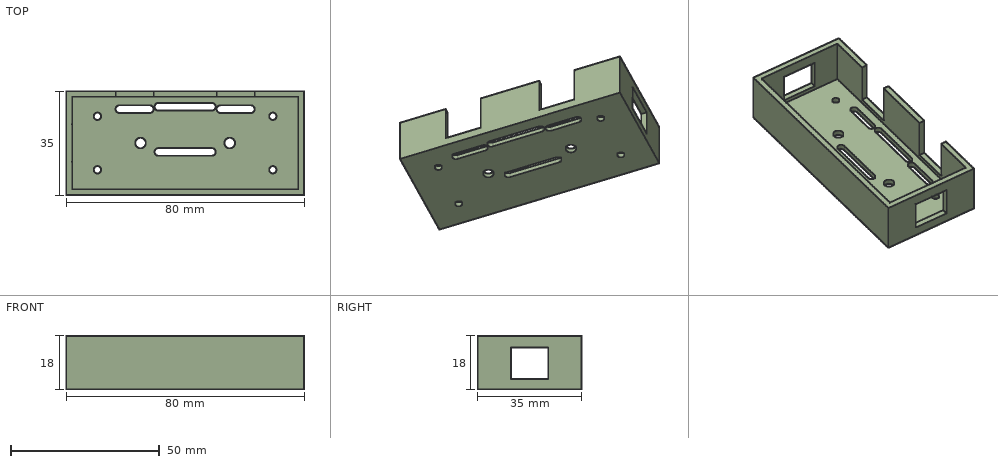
import cadquery as cq

length = 80.0
width = 35.0
height = 18.0
wall = 2.0
floor = 2.0

notch_width = 12.75
notch_offset = 17.0
notch_bottom = 3.5

window_width = 12.5
window_height = 10.5
window_bottom = 3.5

corner_hole_diameter = 2.4
corner_hole_x = 29.5
corner_hole_y = 9.0
centre_hole_diameter = 3.5
centre_hole_x = 15.0

slot_width = 2.5
centre_slot_length = 20.5
back_slot_y = 12.2
front_slot_y = -3.0
notch_slot_length = notch_width
notch_slot_y = 11.4


def make_box():
    """Floor with four walls."""
    outer = cq.Workplane("XY").box(length, width, height, centered=(True, True, False))
    cavity = (
        cq.Workplane("XY")
        .workplane(offset=floor)
        .box(length - 2 * wall, width - 2 * wall, height, centered=(True, True, False))
    )
    return outer.cut(cavity)


def make_notches():
    """Cutters for the back wall, reaching from the notch bottom past the rim."""
    return (
        cq.Workplane("XY")
        .workplane(offset=notch_bottom)
        .pushPoints([(side * notch_offset, (width - wall) / 2) for side in (-1, 1)])
        .rect(notch_width, wall)
        .extrude(height - notch_bottom)
    )


def make_windows():
    """One bar along X that opens both end walls."""
    return (
        cq.Workplane("XY")
        .workplane(offset=window_bottom)
        .box(length, window_width, window_height, centered=(True, True, False))
    )


def make_holes(points, diameter):
    """Round cutters through the floor."""
    return cq.Workplane("XY").pushPoints(points).circle(diameter / 2).extrude(floor)


def make_slots(points, slot_length):
    """Round-ended cutters through the floor, running along X."""
    return cq.Workplane("XY").pushPoints(points).slot2D(slot_length, slot_width).extrude(floor)


corner_points = [(x, y) for x in (-corner_hole_x, corner_hole_x) for y in (-corner_hole_y, corner_hole_y)]
centre_points = [(-centre_hole_x, 0), (centre_hole_x, 0)]
centre_slot_points = [(0, back_slot_y), (0, front_slot_y)]
notch_slot_points = [(-notch_offset, notch_slot_y), (notch_offset, notch_slot_y)]

result = (
    make_box()
    .cut(make_notches())
    .cut(make_windows())
    .cut(make_holes(corner_points, corner_hole_diameter))
    .cut(make_holes(centre_points, centre_hole_diameter))
    .cut(make_slots(centre_slot_points, centre_slot_length))
    .cut(make_slots(notch_slot_points, notch_slot_length))
)